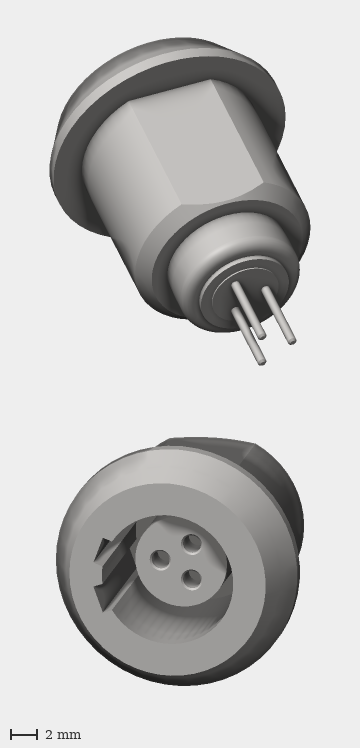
import cadquery as cq
import math

flare_end = 3.07
flange_end = 3.98
body_end = 16.38
collar_end = 19.78
disc_end = 20.17
boss_end = 20.28
overall_length = 26.2

front_radius = 7.52
flange_radius = 9.25
body_radius = 7.0
body_chamfer = 0.97
flat_half_height = 6.18
collar_radius = 4.77
collar_fillet = 0.8
insert_radius = 3.5
boss_radius = 2.65

bore_radius = 5.03
bore_depth = 11.53
insert_face = 4.65
keyway_width = 2.12
keyway_reach = 5.65
keyway_angle = 20.0

contact_count = 3
contact_circle_radius = 1.6
contact_hole_radius = 0.8
contact_chamfer = 0.13
contact_hole_depth = 2.1
pin_radius = 0.35
pin_chamfer = 0.15


def cylinder(start, end, radius):
    """Cylinder along X between two stations."""
    return cq.Workplane("YZ", origin=(start, 0, 0)).circle(radius).extrude(end - start)


def make_flange():
    """Flange with a conical flare rising from the front face."""
    profile = (
        cq.Workplane("XY")
        .lineTo(0, front_radius)
        .lineTo(flare_end, flange_radius)
        .lineTo(flange_end, flange_radius)
        .lineTo(flange_end, 0)
        .close()
    )
    return profile.revolve(360, (0, 0, 0), (1, 0, 0))


def make_body():
    """Chamfered round body with flats on its top and bottom."""
    body = cylinder(flange_end, body_end, body_radius).faces(">X").chamfer(body_chamfer)
    flats = cq.Workplane("XY").box(
        2 * body_end, 2 * body_radius, 2 * flat_half_height
    )
    return body.intersect(flats)


def make_rear():
    """Rounded collar, insert end disc and the low boss around the pins."""
    collar = cylinder(body_end, collar_end, collar_radius).faces(">X").fillet(collar_fillet)
    disc = cylinder(collar_end, disc_end, insert_radius)
    boss = cylinder(disc_end, boss_end, boss_radius)
    return collar.union(disc).union(boss)


def make_socket():
    """Bore with two square keyways either side of the +Y direction."""
    socket = cylinder(0, bore_depth, bore_radius)
    for angle in (-keyway_angle, keyway_angle):
        keyway = (
            cq.Workplane("XY")
            .box(bore_depth, keyway_reach, keyway_width, centered=(False, False, True))
            .rotate((0, 0, 0), (1, 0, 0), angle)
        )
        socket = socket.union(keyway)
    return socket


def make_contact_hole(y, z):
    """Blind contact hole with a chamfered mouth in the insert face."""
    hole_end = insert_face + contact_hole_depth
    hole = cylinder(insert_face, hole_end, contact_hole_radius - contact_chamfer)
    mouth = (
        cq.Workplane("YZ", origin=(insert_face, 0, 0))
        .circle(contact_hole_radius)
        .workplane(offset=contact_chamfer)
        .circle(contact_hole_radius - contact_chamfer)
        .loft()
    )
    return hole.union(mouth).translate((0, y, z))


def make_pin(y, z):
    """Solder pin with a chamfered tip."""
    pin = cylinder(disc_end, overall_length, pin_radius).faces(">X").chamfer(pin_chamfer)
    return pin.translate((0, y, z))


result = make_flange().union(make_body()).union(make_rear()).cut(make_socket())
result = result.union(cylinder(insert_face, disc_end, insert_radius))

for index in range(contact_count):
    angle = 2 * math.pi * index / contact_count
    contact_y = contact_circle_radius * math.cos(angle)
    contact_z = contact_circle_radius * math.sin(angle)
    result = result.cut(make_contact_hole(contact_y, contact_z))
    result = result.union(make_pin(contact_y, contact_z))